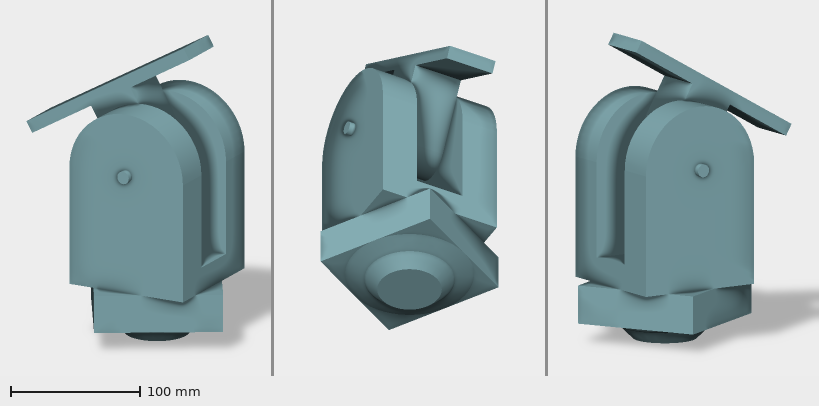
import cadquery as cq

block_width = 100.0
swivel_angle = 30
tilt_angle = 30

base_thickness = 30.0
boss_height = 15.0
boss_shoulder_height = 5.0
boss_shoulder_radius = 35.1
boss_tip_radius = 25.0

pivot_above_base = 95.0
slot_width = 40.0
slot_floor_thickness = 20.0

pin_diameter = 10.0
pin_overhang = 5.0
stem_width = 40.0
platform_length = 160.0
platform_thickness = 10.0
platform_top_above_pivot = 70.0

base_bottom = boss_height
base_top = base_bottom + base_thickness
pivot_height = base_top + pivot_above_base
slot_floor = base_top + slot_floor_thickness
yoke_radius = block_width / 2
pin_length = block_width + 2 * pin_overhang


def cylinder_along_y(diameter, length):
    """Cylinder centred on the origin with its axis along Y."""
    return cq.Workplane("XZ").workplane(offset=-length / 2).circle(diameter / 2).extrude(length)


def make_base():
    """Swivelled square plate standing on a two-stage conical boss."""
    plate = (
        cq.Workplane("XY")
        .workplane(offset=base_bottom)
        .rect(block_width, block_width)
        .extrude(base_thickness)
    )
    boss = (
        cq.Workplane("XZ")
        .moveTo(0, 0)
        .lineTo(boss_tip_radius, 0)
        .lineTo(boss_shoulder_radius, boss_height - boss_shoulder_height)
        .lineTo(block_width / 2, boss_height)
        .lineTo(0, boss_height)
        .close()
        .revolve(360, (0, 0, 0), (0, 1, 0))
    )
    return plate.union(boss).rotate((0, 0, 0), (0, 0, 1), swivel_angle)


def make_yoke():
    """Round-topped block, slotted along X and bored along Y for the pin."""
    block = (
        cq.Workplane("XZ")
        .workplane(offset=-block_width / 2)
        .moveTo(-yoke_radius, base_top)
        .lineTo(yoke_radius, base_top)
        .lineTo(yoke_radius, pivot_height)
        .threePointArc((0, pivot_height + yoke_radius), (-yoke_radius, pivot_height))
        .close()
        .extrude(block_width)
    )
    slot_height = pivot_height + yoke_radius - slot_floor
    slot = (
        cq.Workplane("XY")
        .workplane(offset=slot_floor)
        .rect(block_width, slot_width)
        .extrude(slot_height)
    )
    bore = cylinder_along_y(pin_diameter, block_width).translate((0, 0, pivot_height))
    return block.cut(slot).cut(bore)


def make_tilting_platform():
    """Flat platform on a stem with a round hub and trunnion pin."""
    platform_bottom = platform_top_above_pivot - platform_thickness
    hub = cylinder_along_y(stem_width, slot_width)
    stem = cq.Workplane("XY").rect(stem_width, slot_width).extrude(platform_bottom)
    platform = (
        cq.Workplane("XY")
        .workplane(offset=platform_bottom)
        .rect(platform_length, slot_width)
        .extrude(platform_thickness)
    )
    pin = cylinder_along_y(pin_diameter, pin_length)
    return (
        hub.union(stem)
        .union(platform)
        .union(pin)
        .rotate((0, 0, 0), (0, 1, 0), -tilt_angle)
        .translate((0, 0, pivot_height))
    )


base = make_base()
yoke = make_yoke()
tilting_platform = make_tilting_platform()

result = cq.Compound.makeCompound([base.val(), yoke.val(), tilting_platform.val()])